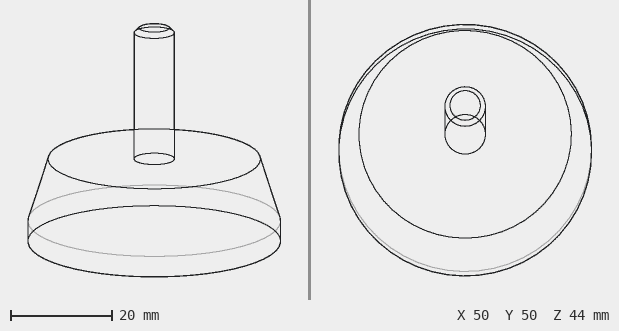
import cadquery as cq

base_diameter = 50.0
base_top_diameter = 42.0
base_height = 17.0
rim_height = 4.25
stud_diameter = 8.0
stud_length = 27.0
stud_chamfer = 1.0


def make_base():
    """Round foot: a straight rim at the bottom and a cone narrowing to a flat top."""
    base_radius = base_diameter / 2
    return (
        cq.Workplane("XZ")
        .lineTo(base_radius, 0)
        .lineTo(base_radius, rim_height)
        .lineTo(base_top_diameter / 2, base_height)
        .lineTo(0, base_height)
        .close()
        .revolve(360, (0, 0, 0), (0, 1, 0))
    )


def make_stud():
    """Central stud standing on the base, chamfered at its free end."""
    return (
        cq.Workplane("XY")
        .workplane(offset=base_height)
        .circle(stud_diameter / 2)
        .extrude(stud_length)
        .faces(">Z")
        .chamfer(stud_chamfer)
    )


result = make_base().union(make_stud())